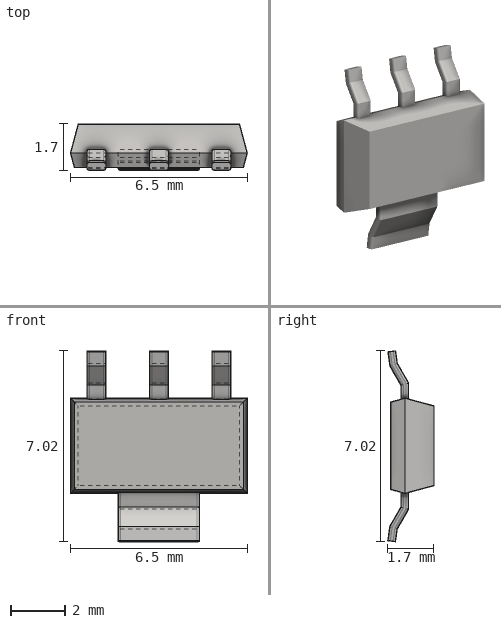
import cadquery as cq
import math

overall_height = 7.02

body_width = 6.5
body_height = 3.5
back_depth = 1.06
front_depth = 0.535
draft_angle = 15.0

metal_thickness = 0.29
metal_offset = 0.015
edge_radius = 0.09
slope_angle = 30.0
foot_angle = 8.0
foot_rise = 0.5
root_length = 0.35

lead_count = 3
lead_width = 0.7
lead_pitch = 2.295
lead_shank = 0.51
lead_slope_rise = 0.71

tab_width = 3.0
tab_slope_rise = 0.715

tip_rise = metal_thickness / 2 * math.sin(math.radians(foot_angle))
foot_height = foot_rise + tip_rise
lead_height = lead_shank + lead_slope_rise + foot_height
tab_height = overall_height - body_height - lead_height
tab_shank = tab_height - tab_slope_rise - foot_height


def make_body_half(depth):
    """Drafted block from the parting plane; positive depth runs towards -Y."""
    return (
        cq.Workplane("XZ")
        .rect(body_width, body_height)
        .extrude(depth, taper=draft_angle)
    )


def make_terminal(width, shank, slope_rise):
    """Terminal leaving the top of the body, bent twice towards -Y."""
    root_z = body_height / 2 - root_length
    shank_z = body_height / 2 + shank
    shank_y = -metal_offset
    slope_y = shank_y - slope_rise * math.tan(math.radians(slope_angle))
    slope_z = shank_z + slope_rise
    foot_y = slope_y - foot_rise * math.tan(math.radians(foot_angle))
    foot_z = slope_z + foot_rise

    centreline = cq.Workplane("YZ").polyline(
        [(shank_y, root_z), (shank_y, shank_z), (slope_y, slope_z), (foot_y, foot_z)]
    )
    section = cq.Sketch().rect(width, metal_thickness).vertices().fillet(edge_radius)
    return (
        cq.Workplane("XY", origin=(0, shank_y, root_z))
        .placeSketch(section)
        .sweep(centreline, transition="right")
    )


body = make_body_half(front_depth).union(make_body_half(-back_depth))

lead = make_terminal(lead_width, lead_shank, lead_slope_rise)
for index in range(lead_count):
    lead_x = (index - (lead_count - 1) / 2) * lead_pitch
    body = body.union(lead.translate((lead_x, 0, 0)))

tab = make_terminal(tab_width, tab_shank, tab_slope_rise).mirror("XY")
result = body.union(tab)